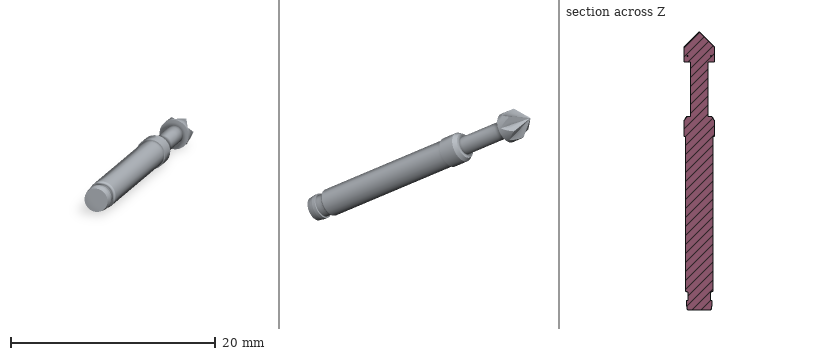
import cadquery as cq
import math

overall_length = 27.3

head_diameter = 3.0
head_length = 3.0
ridge_count = 6
ridge_drop = 1.5
valley_drop = 2.7

shaft_diameter = 1.8
collar_diameter = 3.0
collar_length = 2.02
collar_front_drop = 8.3
collar_taper_length = 0.4
collar_taper_depth = 0.25
barrel_diameter = 2.75
barrel_fillet = 0.22

groove_diameter = 2.25
groove_length = 0.8
flange_diameter = 2.57
flange_length = 0.98
flange_taper_length = 0.63
end_diameter = 2.38

head_base_y = overall_length - head_length
collar_front_y = overall_length - collar_front_drop
collar_back_y = collar_front_y - collar_length
barrel_end_y = flange_length + groove_length


def cylinder(diameter, start_y, end_y):
    """Cylinder on the Y axis between two stations."""
    base = cq.Workplane("XZ", origin=(0, end_y, 0))
    return base.circle(diameter / 2).extrude(end_y - start_y)


def star_point(index):
    """Corner of the star at the head base: even corners are ridges, odd ones are valleys."""
    drop = ridge_drop if index % 2 == 0 else valley_drop
    radius = head_diameter / 2 * head_length / drop
    angle = math.pi * index / ridge_count
    return cq.Vector(radius * math.cos(angle), head_base_y, radius * math.sin(angle))


def make_head():
    """Star pyramid of ridges and valleys, trimmed to the head cylinder."""
    tip = cq.Vector(0, overall_length, 0)
    corners = [star_point(index) for index in range(2 * ridge_count)]
    next_corners = corners[1:] + corners[:1]
    faces = [cq.Face.makeFromWires(cq.Wire.makePolygon(corners, close=True))]
    for corner, next_corner in zip(corners, next_corners):
        flank = cq.Wire.makePolygon([tip, corner, next_corner], close=True)
        faces.append(cq.Face.makeFromWires(flank))
    pyramid = cq.Solid.makeSolid(cq.Shell.makeShell(faces))
    return cylinder(head_diameter, head_base_y, overall_length).intersect(cq.Workplane(pyramid))


def make_tail():
    """Flange at the rear end, tapering to the end face."""
    half_profile = [
        (0, 0),
        (end_diameter / 2, 0),
        (flange_diameter / 2, flange_taper_length),
        (flange_diameter / 2, flange_length),
        (0, flange_length),
    ]
    return cq.Workplane("XY").polyline(half_profile).close().revolve(360, (0, 0), (0, 1))


shaft = cylinder(shaft_diameter, collar_front_y, head_base_y)
collar = cylinder(collar_diameter, collar_back_y, collar_front_y)
collar = collar.edges(">Y").chamfer(collar_taper_length, collar_taper_depth)
barrel = cylinder(barrel_diameter, barrel_end_y, collar_back_y)
barrel = barrel.edges("<Y").fillet(barrel_fillet)
groove_core = cylinder(groove_diameter, flange_length, barrel_end_y)

result = make_head().union(shaft).union(collar).union(barrel).union(groove_core).union(make_tail())